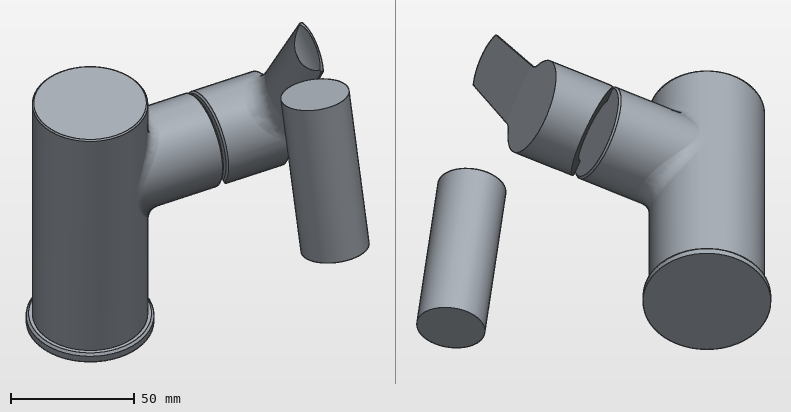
import cadquery as cq
import math

body_dia = 47.0
body_height = 116.0
body_top_chamfer = 0.6
flange_dia = 52.0
flange_height = 4.0
flange_chamfer = 1.0
branch_dia = 40.0
branch_axis_z = 77.0
branch_end_y = 51.0
branch_end_chamfer = 0.8
branch_root_fillet = 6.0

head_dia = branch_dia
head_gap = 1.2
head_back_y = branch_end_y + head_gap
head_front_low_y = 79.8
head_back_chamfer = 0.8
head_bore_dia = 26.8
head_bore_depth = 15.0
relief_depth = 10.0

lever_lean = 30.0
lever_front_y = 81.4
lever_tip_y = 81.96
front_stock_y = 85.0
lever_root_half_width = 13.3
lever_root_thickness = 7.5
lever_root_flank = 1.0
lever_facet_start = 71.0
lever_facet_thickness = 5.5
lever_tip = 82.5
lever_tip_half_width = 11.1
lever_tip_thickness = 5.2
lever_tip_flank = 1.0
lever_edge_thickness = 0.7
lever_facet_middle = 76.0
lever_facet_middle_thickness = 2.4
lever_tip_radius = 14.5
lever_root_fillet = 8.0

spout_dia = 28.0
spout_length = 70.0
spout_tilt = 15.0
spout_center_x = 212.0
spout_center_z = 240.35


def make_body():
    column = cq.Workplane("XY").circle(body_dia / 2).extrude(body_height)
    branch = (
        cq.Workplane("XZ", origin=(0, 0, branch_axis_z))
        .circle(branch_dia / 2)
        .extrude(-branch_end_y)
        .faces(">Y")
        .chamfer(branch_end_chamfer)
    )
    flange = (
        cq.Workplane("XY")
        .circle(flange_dia / 2)
        .extrude(flange_height)
        .faces(">Z")
        .chamfer(flange_chamfer)
    )
    root_zone = cq.selectors.BoxSelector(
        (-branch_dia, 1, flange_height), (branch_dia, body_dia / 2, body_height - 1)
    )
    joined = column.union(branch).edges(root_zone).fillet(branch_root_fillet)
    return joined.faces(">Z").chamfer(body_top_chamfer).union(flange)


def make_head_blank():
    """Cylinder on the Y axis, with spare length in front, relieved below the axis at the back."""
    radius = head_dia / 2
    cylinder = (
        cq.Workplane("XZ", origin=(0, head_back_y, 0))
        .circle(radius)
        .extrude(head_back_y - front_stock_y)
        .faces("<Y")
        .chamfer(head_back_chamfer)
    )
    relief = (
        cq.Workplane("YZ")
        .polyline([(head_back_y, 0), (head_back_y + relief_depth, -radius), (head_back_y, -radius)])
        .close()
        .extrude(radius, both=True)
    )
    return cylinder.cut(relief)


def lever_section(height, half_width, back_y, flank_y):
    """Flat front, two straight flanks and an arched back."""
    return (
        cq.Workplane("XY", origin=(0, 0, height))
        .moveTo(-half_width, front_stock_y)
        .lineTo(half_width, front_stock_y)
        .lineTo(half_width, flank_y)
        .threePointArc((0, back_y), (-half_width, flank_y))
        .close()
        .wires()
        .val()
    )


def make_lever_blank():
    """Tapered bar along +Z from the head axis, with spare thickness in front."""
    root = lever_section(
        0,
        lever_root_half_width,
        lever_front_y - lever_root_thickness,
        lever_front_y - lever_root_flank,
    )
    tip = lever_section(
        lever_tip,
        lever_tip_half_width,
        lever_tip_y - lever_tip_thickness,
        lever_tip_y - lever_tip_flank,
    )
    return cq.Workplane(cq.Solid.makeLoft([root, tip], True))


def front_cutter():
    """Everything ahead of the sloping head front and the lever front."""
    radius = head_dia / 2
    front_line = [
        (head_front_low_y, -radius),
        (lever_front_y, radius),
        (lever_tip_y, lever_tip),
        (front_stock_y, lever_tip),
        (front_stock_y, -radius),
    ]
    return cq.Workplane("YZ").polyline(front_line).close().extrude(head_dia, both=True)


def tip_cutter():
    """Everything beyond the arc that rounds the tip across its width."""
    shoulder = lever_tip - lever_tip_radius + math.sqrt(
        lever_tip_radius**2 - lever_root_half_width**2
    )
    return (
        cq.Workplane("XZ")
        .moveTo(-lever_root_half_width, shoulder)
        .threePointArc((0, lever_tip), (lever_root_half_width, shoulder))
        .lineTo(lever_root_half_width, lever_tip)
        .lineTo(-lever_root_half_width, lever_tip)
        .close()
        .extrude(-front_stock_y)
    )


def facet_cutter():
    """Hollow slope that thins the back of the lever towards its tip."""
    start_y = lever_tip_y - lever_root_thickness
    return (
        cq.Workplane("YZ")
        .moveTo(lever_tip_y - lever_facet_thickness, lever_facet_start)
        .threePointArc(
            (lever_tip_y - lever_facet_middle_thickness, lever_facet_middle),
            (lever_tip_y - lever_edge_thickness, lever_tip),
        )
        .lineTo(start_y, lever_tip)
        .lineTo(start_y, lever_facet_start)
        .close()
        .extrude(head_dia, both=True)
    )


def make_handle():
    """Built with the lever upright, then leaned about the branch axis."""
    blank = make_head_blank().union(make_lever_blank())
    root_zone = cq.selectors.BoxSelector(
        (-head_dia / 2, head_back_y + 1, 1), (head_dia / 2, front_stock_y - 1, head_dia / 2 + 1)
    )
    blank = blank.edges(root_zone).fillet(lever_root_fillet)
    bore = (
        cq.Workplane("XZ", origin=(0, head_back_y, 0))
        .circle(head_bore_dia / 2)
        .extrude(-head_bore_depth)
    )
    handle = blank.cut(front_cutter()).cut(tip_cutter()).cut(facet_cutter()).cut(bore)
    return handle.rotate((0, 0, 0), (0, 1, 0), lever_lean).translate((0, 0, branch_axis_z))


def make_spout_end():
    """Built upright about the origin, then tilted and moved into place."""
    cylinder = (
        cq.Workplane("XY", origin=(0, 0, -spout_length / 2))
        .circle(spout_dia / 2)
        .extrude(spout_length)
    )
    tilted = cylinder.rotate((0, 0, 0), (0, 1, 0), -spout_tilt)
    return tilted.translate((spout_center_x, 0, spout_center_z))


body = make_body()
handle = make_handle()
spout_end = make_spout_end()

result = cq.Compound.makeCompound([body.val(), handle.val(), spout_end.val()])